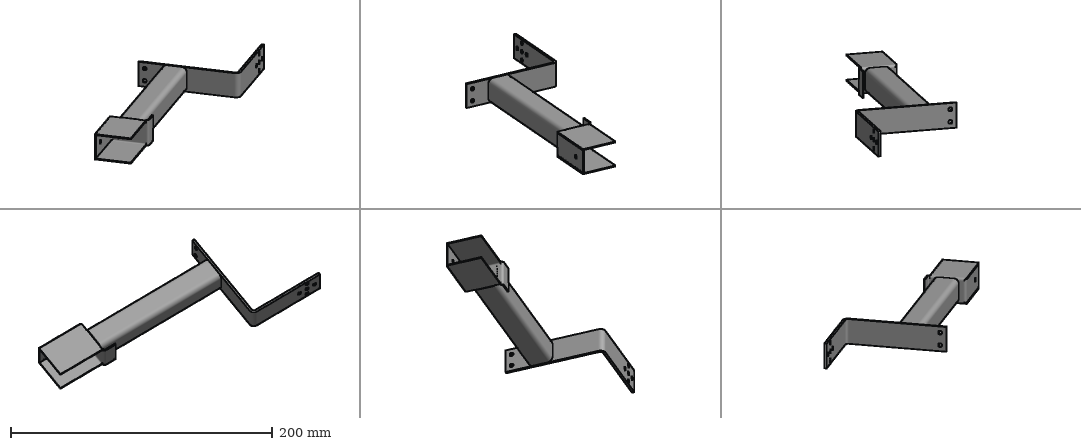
import cadquery as cq

overall_length = 215.0
hole_diameter = 3.0

strap_height = 20.0
strap_width = 81.0
strap_leg = 63.0
strap_thickness = 2.0
strap_bend_inner = 2.0
strap_bend_outer = strap_bend_inner + strap_thickness
end_hole_inset = 5.0
end_hole_spacing = 10.0
cross_center_inset = 12.0
cross_hole_spacing = 7.0

clip_height = 21.0
clip_left = 13.1
clip_width = 31.0
clip_plate_width = 28.8
clip_length = 40.0
sheet_thickness = 1.0
clip_bend_inner = 1.0
clip_bend_outer = clip_bend_inner + sheet_thickness
seam_gap = 0.2
tab_reach = 10.3
clip_hole_inset = 11.0

arm_side = strap_height
arm_left = 19.0
arm_edge_radius = 4.0

strap_front = overall_length - strap_leg
clip_plate_right = clip_left + clip_plate_width
panel_front = clip_length - sheet_thickness


def box_between(x_range, y_range, z_range):
    """Box given by its lower and upper limits along each axis."""
    low, high = zip(x_range, y_range, z_range)
    size = [b - a for a, b in zip(low, high)]
    return cq.Workplane("XY").box(*size, centered=False).translate(low)


def holes_along_x(places):
    """Cutters running along X through the whole part at the given (y, z) places."""
    return (
        cq.Workplane("YZ").pushPoints(places)
        .circle(hole_diameter / 2).extrude(strap_width)
    )


def angle_sheet(left, front, right, back, thickness, inner_radius, height):
    """L-shaped sheet: one leg along X at the front, one along Y at the right, joined by a bend."""
    outer_radius = inner_radius + thickness
    return (
        cq.Workplane("XY", origin=(0, 0, -height / 2))
        .moveTo(left, front)
        .lineTo(right - outer_radius, front)
        .radiusArc((right, front + outer_radius), -outer_radius)
        .lineTo(right, back)
        .lineTo(right - thickness, back)
        .lineTo(right - thickness, front + outer_radius)
        .radiusArc((right - outer_radius, front + thickness), inner_radius)
        .lineTo(left, front + thickness)
        .close()
        .extrude(height)
    )


def make_strap():
    strap = angle_sheet(
        0, strap_front, strap_width, overall_length,
        strap_thickness, strap_bend_inner, strap_height,
    )
    end_holes = (
        cq.Workplane("XZ", origin=(0, overall_length, 0))
        .pushPoints([(end_hole_inset, side * end_hole_spacing / 2) for side in (-1, 1)])
        .circle(hole_diameter / 2).extrude(overall_length)
    )
    cross_y = overall_length - cross_center_inset
    cross_steps = [(0, 0), (-1, 0), (1, 0), (0, -1), (0, 1)]
    cross_holes = holes_along_x([
        (cross_y + step_y * cross_hole_spacing, step_z * cross_hole_spacing)
        for step_y, step_z in cross_steps
    ])
    return strap.cut(end_holes).cut(cross_holes)


def make_arm():
    arm = box_between(
        (arm_left, arm_left + arm_side), (clip_length, strap_front), (-arm_side / 2, arm_side / 2)
    )
    return arm.edges("|Y").fillet(arm_edge_radius)


def make_clip():
    half_height = clip_height / 2
    inner_half_height = half_height - sheet_thickness
    channel = box_between(
        (clip_left, clip_plate_right), (0, clip_length), (-half_height, half_height)
    )
    channel = channel.faces(">Y").edges("|X or <X").fillet(clip_bend_outer)
    cavity = box_between(
        (clip_left + sheet_thickness, clip_plate_right), (0, panel_front),
        (-inner_half_height, inner_half_height),
    )
    cavity = cavity.faces(">Y").edges("|X or <X").fillet(clip_bend_inner)
    tab = angle_sheet(
        clip_plate_right, panel_front,
        clip_left + clip_width, clip_length + tab_reach,
        sheet_thickness, clip_bend_inner, clip_height,
    )
    clip = channel.cut(cavity).union(tab)
    for seam_bottom in (-inner_half_height, inner_half_height - seam_gap):
        seam = box_between(
            (clip_left, clip_left + sheet_thickness), (0, clip_length - clip_bend_outer),
            (seam_bottom, seam_bottom + seam_gap),
        )
        clip = clip.cut(seam)
    wall_hole = holes_along_x([(clip_hole_inset, 0)])
    return clip.cut(wall_hole)


strap = make_strap()
arm = make_arm()
clip = make_clip()

result = cq.Compound.makeCompound([strap.val(), arm.val(), clip.val()])